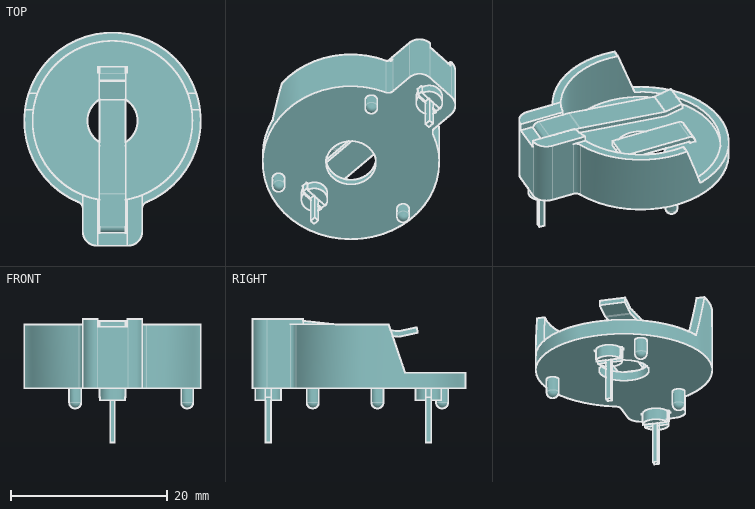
import cadquery as cq
import math


outer_radius = 11.3
seat_radius = 10.25
floor_height = 1.2
rim_height = 2.0
wall_height = 8.2
wall_slope_foot_y = 3.55
wall_slope_top_y = 1.45
floor_hole_radius = 3.2

block_width = 7.65
block_front_y = -16.0
block_back_y = -seat_radius / 2
block_height = 8.9
block_corner_radius = 1.85
block_root_fillet = 0.8

sheet = 0.75
bend_radius = 0.08
outer_bend_radius = bend_radius + sheet
strip_width = 3.39
slot_width = 3.7
channel_floor = 7.9
upper_leg_y = -13.98
lower_leg_y = 6.52
strip_bottom = -1.15
pin_width = 0.63
pin_bottom = -6.95

first_bend_y = -9.35
slope_angle = 6.2
slope_length = 12.05
tip_angle = 12.3
tip_length = 2.38

lower_end_y = -floor_hole_radius

boss_radius = 1.67
boss_depth = 1.55
peg_radius = 0.8
peg_depth = 2.6
peg_circle_radius = 9.55
peg_count = 3


def cylinder(radius, bottom, top, x=0, y=0):
    """Upright cylinder between two heights."""
    return cq.Workplane("XY", origin=(x, y, bottom)).circle(radius).extrude(top - bottom)


def box(width, y_min, y_max, z_min, z_max):
    """Box centred on X = 0."""
    size_y = y_max - y_min
    size_z = z_max - z_min
    block = cq.Workplane("XY", origin=(0, y_min, z_min))
    return block.box(width, size_y, size_z, centered=(True, False, False))


def shifted(point, distance, angle):
    """Point at a distance and an angle in degrees from a (y, z) point."""
    turn = math.radians(angle)
    return (point[0] + distance * math.cos(turn), point[1] + distance * math.sin(turn))



def make_shell():
    """Round cup whose wall drops along a slope to a low rim at the back."""
    cup = cylinder(outer_radius, 0, wall_height)
    wall_cut = (
        cq.Workplane("YZ")
        .moveTo(wall_slope_foot_y, rim_height)
        .lineTo(outer_radius, rim_height)
        .lineTo(outer_radius, wall_height)
        .lineTo(wall_slope_top_y, wall_height)
        .close()
        .extrude(outer_radius, both=True)
    )
    return cup.cut(wall_cut)


def make_block():
    """Terminal block with rounded front corners, reaching back into the cup."""
    block = box(block_width, block_front_y, block_back_y, 0, block_height)
    return block.edges("|Z and <Y").fillet(block_corner_radius)


def make_root_fillet(side):
    """Concave fillet between the round wall and one side of the block."""
    half_width = block_width / 2
    centre_x = half_width + block_root_fillet
    centre_distance = outer_radius + block_root_fillet
    centre_y = -math.sqrt(centre_distance**2 - centre_x**2)
    wall_ratio = outer_radius / centre_distance
    wall_point = (side * centre_x * wall_ratio, centre_y * wall_ratio)
    corner = (side * half_width, wall_point[1])
    web = cq.Workplane("XY").polyline([(side * half_width, centre_y), wall_point, corner]).close()
    web = web.extrude(wall_height)
    return web.cut(cylinder(block_root_fillet, 0, wall_height, side * centre_x, centre_y))


def make_peg(angle):
    """Locating peg with a domed end."""
    x = peg_circle_radius * math.cos(math.radians(angle))
    y = peg_circle_radius * math.sin(math.radians(angle))
    peg = cylinder(peg_radius, -peg_depth + peg_radius, floor_height, x, y)
    dome = cq.Workplane("XY", origin=(x, y, -peg_depth + peg_radius)).sphere(peg_radius)
    return peg.union(dome)


def make_leg_slot(leg_y):
    """Slot through the housing for the upright leg of a contact."""
    return box(slot_width, leg_y - sheet / 2, leg_y + sheet / 2, -boss_depth, block_height)


def make_channel_edge_cut():
    """Rounding of the channel floor edge that sits inside the bend of the upper contact."""
    edge_y = upper_leg_y + sheet / 2
    centre = (edge_y + bend_radius, channel_floor - bend_radius)
    return (
        cq.Workplane("YZ")
        .moveTo(edge_y, centre[1])
        .threePointArc(shifted(centre, bend_radius, 135), (centre[0], channel_floor))
        .lineTo(edge_y, channel_floor)
        .close()
        .extrude(slot_width / 2, both=True)
    )


def make_housing():
    housing = make_shell().union(make_block())
    for side in (-1, 1):
        housing = housing.union(make_root_fillet(side))
    housing = housing.cut(cylinder(seat_radius, floor_height, block_height))
    housing = housing.cut(cylinder(floor_hole_radius, 0, floor_height))
    housing = housing.cut(box(slot_width, block_front_y, block_back_y, channel_floor, block_height))
    for index in range(peg_count):
        housing = housing.union(make_peg(index * 360 / peg_count))
    for leg_y in (upper_leg_y, lower_leg_y):
        housing = housing.union(cylinder(boss_radius, -boss_depth, 0, 0, leg_y))
        housing = housing.cut(make_leg_slot(leg_y))
    return housing.cut(make_channel_edge_cut())



def make_pin(leg_y):
    """Narrow solder pin below the upright leg of a contact."""
    return box(pin_width, leg_y - sheet / 2, leg_y + sheet / 2, pin_bottom, strip_bottom)


def make_upper_contact():
    """Contact that rests in the block channel and slopes down over the cell to an upturned tip."""
    leg_inside_y = upper_leg_y + sheet / 2
    bend_centre = (leg_inside_y + bend_radius, channel_floor - bend_radius)
    first_bend = (first_bend_y, channel_floor)
    slope_normal = 90 - slope_angle
    tip_normal = 90 + tip_angle
    slope_start = shifted(first_bend, sheet, slope_normal)
    tip_bend = shifted(slope_start, slope_length, -slope_angle)
    tip_end = shifted(tip_bend, tip_length, tip_angle)
    strip = (
        cq.Workplane("YZ")
        .moveTo(leg_inside_y, strip_bottom)
        .lineTo(*shifted(bend_centre, bend_radius, 180))
        .threePointArc(shifted(bend_centre, bend_radius, 135), shifted(bend_centre, bend_radius, 90))
        .lineTo(*first_bend)
        .lineTo(*shifted(tip_bend, -sheet, slope_normal))
        .threePointArc(shifted(tip_bend, -sheet, (slope_normal + tip_normal) / 2),
                       shifted(tip_bend, -sheet, tip_normal))
        .lineTo(*shifted(tip_end, -sheet, tip_normal))
        .lineTo(*tip_end)
        .lineTo(*tip_bend)
        .lineTo(*slope_start)
        .threePointArc(shifted(first_bend, sheet, (slope_normal + 90) / 2),
                       shifted(first_bend, sheet, 90))
        .lineTo(*shifted(bend_centre, outer_bend_radius, 90))
        .threePointArc(shifted(bend_centre, outer_bend_radius, 135),
                       shifted(bend_centre, outer_bend_radius, 180))
        .lineTo(leg_inside_y - sheet, strip_bottom)
        .close()
        .extrude(strip_width / 2, both=True)
    )
    return strip.union(make_pin(upper_leg_y))


def make_lower_contact():
    """Contact that runs flat across the floor hole, held just off the cell seat by its bend."""
    leg_inside_y = lower_leg_y - sheet / 2
    bend_centre = (leg_inside_y - bend_radius, floor_height)
    strip_underside = floor_height + bend_radius
    strip = (
        cq.Workplane("YZ")
        .moveTo(leg_inside_y, strip_bottom)
        .lineTo(*shifted(bend_centre, bend_radius, 0))
        .threePointArc(shifted(bend_centre, bend_radius, 45), shifted(bend_centre, bend_radius, 90))
        .lineTo(lower_end_y, strip_underside)
        .lineTo(lower_end_y, strip_underside + sheet)
        .lineTo(*shifted(bend_centre, outer_bend_radius, 90))
        .threePointArc(shifted(bend_centre, outer_bend_radius, 45),
                       shifted(bend_centre, outer_bend_radius, 0))
        .lineTo(leg_inside_y + sheet, strip_bottom)
        .close()
        .extrude(strip_width / 2, both=True)
    )
    return strip.union(make_pin(lower_leg_y))


housing = make_housing()
upper_contact = make_upper_contact()
lower_contact = make_lower_contact()

result = cq.Compound.makeCompound([housing.val(), upper_contact.val(), lower_contact.val()])